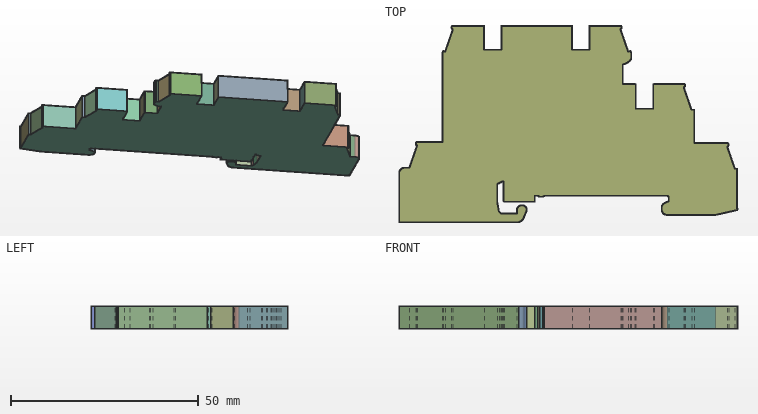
import cadquery as cq

length = 90.5
height = 52.5
thickness = 6.1

left_tier_y = 21.5
middle_tier_y = 37.0
right_tier_y = 21.2

lip_drop = 0.5
lip_corner_inset = 0.3
slope_top_inset = 0.35
slope_top_drop = 0.95
slope_foot_offset = 1.7
slope_foot_drop = 6.88

lower_left_tip_x = 4.45
upper_left_tip_x = 14.0
upper_right_tip_x = 59.5
middle_right_tip_x = 76.4
lower_right_tip_x = 88.0

upper_left_wall_x = 11.55
upper_right_wall_x = 59.75
middle_right_wall_x = 78.85
right_wall_x = 90.25
shoulder_rise = 0.15
shoulder_run = 0.3
left_corner_radius = 1.5

slot_width = 4.6
upper_slot_depth = 6.35
middle_slot_depth = 6.6
upper_slot_left_edges = (22.75, 46.2)
middle_slot_left_edge = 63.25
slot_mouth_chamfer = 0.25

nose_x = 62.05
nose_top_y = 45.3
nose_bottom_y = 43.7
nose_arc_middle = (61.25, 42.8)
nose_root_y = 42.15

right_foot_y = 1.95
right_tip_y = 3.7
right_chin_y = 3.25
right_chin_x = 84.5
claw_x = 70.1
claw_radius = 1.5
claw_top_y = 4.35
claw_arc_middle = (70.8, 5.1)
claw_root_x = 72.0
claw_root_y = 5.6

seat_y = 7.05
seat_corner_radius = 0.4
bump_height = 0.25
bump_ramp = 0.45
bump_right_x = 38.8
bump_left_x = 37.1
pad_right_x = 36.3
pad_y = 5.45
pad_corner_chamfer = 0.3

relief_right_x = 27.85
relief_left_x = 26.25
relief_top_y = 10.85
relief_left_top_y = 10.2
relief_top_flat = 0.3
relief_bend_y = 5.4
relief_bottom_y = 2.4
relief_bottom_x = 26.7
relief_corner_chamfer = 0.5
hook_inner_x = 31.45
hook_head_radius = 1.35
hook_top_y = 4.6
hook_bottom_x = 31.9
hook_heel_x = 33.35
hook_heel_y = 1.3


def rising_tier_end(path, tip_x, top_y):
    """Slope and rounded lip at the left end of a tier, drawn upward."""
    return (
        path.lineTo(tip_x - slope_foot_offset, top_y - slope_foot_drop)
        .lineTo(tip_x + slope_top_inset, top_y - slope_top_drop)
        .threePointArc((tip_x, top_y - lip_drop), (tip_x + lip_corner_inset, top_y))
    )


def falling_tier_end(path, tip_x, top_y):
    """Rounded lip and slope at the right end of a tier, drawn downward."""
    return (
        path.lineTo(tip_x - lip_corner_inset, top_y)
        .threePointArc((tip_x, top_y - lip_drop), (tip_x - slope_top_inset, top_y - slope_top_drop))
        .lineTo(tip_x + slope_foot_offset, top_y - slope_foot_drop)
    )


def left_side(path):
    """Left wall, lower left tier and upper left wall, drawn upward."""
    lower_shoulder_y = left_tier_y - slope_foot_drop
    upper_shoulder_y = height - slope_foot_drop
    path = path.lineTo(0, lower_shoulder_y - left_corner_radius)
    path = path.tangentArcPoint((left_corner_radius, lower_shoulder_y), relative=False)
    path = rising_tier_end(path, lower_left_tip_x, left_tier_y)
    path = path.lineTo(upper_left_wall_x, left_tier_y)
    path = path.lineTo(upper_left_wall_x, upper_shoulder_y - shoulder_run)
    path = path.lineTo(upper_left_wall_x + shoulder_run, upper_shoulder_y + shoulder_rise)
    return rising_tier_end(path, upper_left_tip_x, height)


def right_side(path):
    """Upper right nose, middle tier and lower right tier, drawn downward."""
    path = falling_tier_end(path, upper_right_tip_x, height)
    path = path.lineTo(nose_x - shoulder_run, height - slope_foot_drop + shoulder_rise)
    path = path.lineTo(nose_x, nose_top_y).lineTo(nose_x, nose_bottom_y)
    path = path.threePointArc(nose_arc_middle, (upper_right_wall_x, nose_root_y))
    path = path.lineTo(upper_right_wall_x, middle_tier_y)

    path = falling_tier_end(path, middle_right_tip_x, middle_tier_y)
    path = path.lineTo(middle_right_wall_x, middle_tier_y - slope_foot_drop)
    path = path.lineTo(middle_right_wall_x, right_tier_y)

    path = falling_tier_end(path, lower_right_tip_x, right_tier_y)
    path = path.lineTo(right_wall_x, right_tier_y - slope_foot_drop)
    path = path.lineTo(right_wall_x, right_tip_y)
    return path.lineTo(length, right_tip_y).lineTo(right_wall_x, right_chin_y)


def fixed_claw(path):
    """Sloping chin, flat foot and rounded claw, drawn leftward."""
    return (
        path.lineTo(right_chin_x, right_foot_y)
        .lineTo(claw_x + claw_radius, right_foot_y)
        .tangentArcPoint((claw_x, right_foot_y + claw_radius), relative=False)
        .lineTo(claw_x, claw_top_y)
        .threePointArc(claw_arc_middle, (claw_root_x, claw_root_y))
        .lineTo(claw_root_x, seat_y - seat_corner_radius)
        .tangentArcPoint((claw_root_x - seat_corner_radius, seat_y), relative=False)
    )


def rail_seat(path):
    """Long seat, low bump and pad, drawn leftward."""
    return (
        path.lineTo(bump_right_x, seat_y)
        .lineTo(bump_right_x - bump_ramp, seat_y - bump_height)
        .lineTo(bump_left_x + bump_ramp, seat_y - bump_height)
        .lineTo(bump_left_x, seat_y)
        .lineTo(pad_right_x, seat_y)
        .lineTo(pad_right_x, pad_y)
        .lineTo(relief_right_x + pad_corner_chamfer, pad_y)
        .lineTo(relief_right_x, pad_y + pad_corner_chamfer)
    )


def flexible_foot(path):
    """Relief slot, rounded hook head and hook heel, ending on the base line."""
    head_center_x = hook_inner_x + hook_head_radius
    head_center_y = hook_top_y - hook_head_radius
    return (
        path.lineTo(relief_right_x, relief_top_y)
        .lineTo(relief_right_x - relief_top_flat, relief_top_y)
        .lineTo(relief_left_x, relief_left_top_y)
        .lineTo(relief_left_x, relief_bend_y)
        .lineTo(relief_bottom_x, relief_bottom_y + relief_corner_chamfer)
        .lineTo(relief_bottom_x + relief_corner_chamfer, relief_bottom_y)
        .lineTo(hook_inner_x, relief_bottom_y)
        .lineTo(hook_inner_x, head_center_y)
        .threePointArc((head_center_x, hook_top_y), (head_center_x + hook_head_radius, head_center_y))
        .lineTo(hook_heel_x, hook_heel_y)
        .tangentArcPoint((hook_bottom_x, 0), relative=False)
    )


def slot_cutter(left_x, top_y, depth):
    """Block that cuts one rectangular slot down from a tier."""
    slot = cq.Workplane("XY").box(slot_width, depth, thickness, centered=False)
    return slot.translate((left_x, top_y - depth, 0))


def mouth_cutter(left_x, top_y):
    """Wedge that chamfers both mouth edges of a slot."""
    right_x = left_x + slot_width
    corners = [
        (left_x - slot_mouth_chamfer, top_y),
        (right_x + slot_mouth_chamfer, top_y),
        (right_x, top_y - slot_mouth_chamfer),
        (left_x, top_y - slot_mouth_chamfer),
    ]
    return cq.Workplane("XY").polyline(corners).close().extrude(thickness)


outline = cq.Workplane("XY").moveTo(0, 0)
for section in (left_side, right_side, fixed_claw, rail_seat, flexible_foot):
    outline = section(outline)
body = outline.close().extrude(thickness)

for slot_x in upper_slot_left_edges:
    body = body.cut(slot_cutter(slot_x, height, upper_slot_depth))
body = body.cut(slot_cutter(middle_slot_left_edge, middle_tier_y, middle_slot_depth))
body = body.cut(mouth_cutter(middle_slot_left_edge, middle_tier_y))

result = body